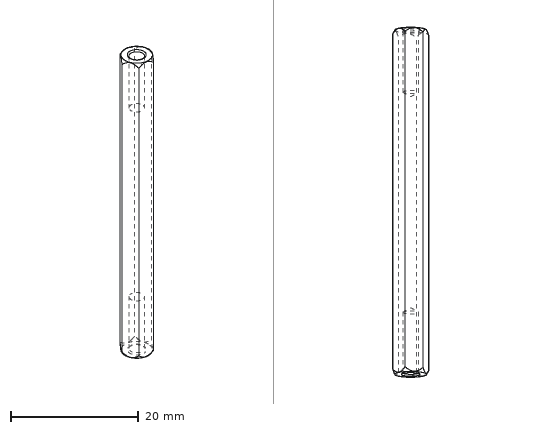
import cadquery as cq
import math

length = 55.0
across_flats = 5.0
across_corners = across_flats / math.cos(math.radians(30))

end_face_diameter = 4.95
chamfer_angle = 60.0

hole_diameter = 2.5
hole_depth = 9.9
mouth_diameter = 2.95
drill_point_angle = 118.0


def hex_bar():
    """Hexagonal bar with flats facing +X and -X."""
    profile = cq.Workplane("XY").polygon(6, across_corners)
    return profile.extrude(length).rotate((0, 0, 0), (0, 0, 1), 30)


def chamfer_envelope():
    """Turned cylinder with conical ends that trims the bar's corners."""
    outer_radius = across_corners / 2
    face_radius = end_face_diameter / 2
    drop = (outer_radius - face_radius) * math.tan(math.radians(chamfer_angle))
    return (
        cq.Workplane("XZ")
        .moveTo(0, 0)
        .lineTo(face_radius, 0)
        .lineTo(outer_radius, drop)
        .lineTo(outer_radius, length - drop)
        .lineTo(face_radius, length)
        .lineTo(0, length)
        .close()
        .revolve(360, (0, 0), (0, 1))
    )


def bottom_hole():
    """Solid of the hole entering from the lower end."""
    radius = hole_diameter / 2
    mouth_radius = mouth_diameter / 2
    mouth_depth = mouth_radius - radius
    point_height = radius / math.tan(math.radians(drill_point_angle / 2))
    return (
        cq.Workplane("XZ")
        .moveTo(0, 0)
        .lineTo(mouth_radius, 0)
        .lineTo(radius, mouth_depth)
        .lineTo(radius, hole_depth)
        .lineTo(0, hole_depth + point_height)
        .close()
        .revolve(360, (0, 0), (0, 1))
    )


lower_hole = bottom_hole()
upper_hole = lower_hole.mirror("XY", (0, 0, length / 2))

result = hex_bar().intersect(chamfer_envelope()).cut(lower_hole).cut(upper_hole)